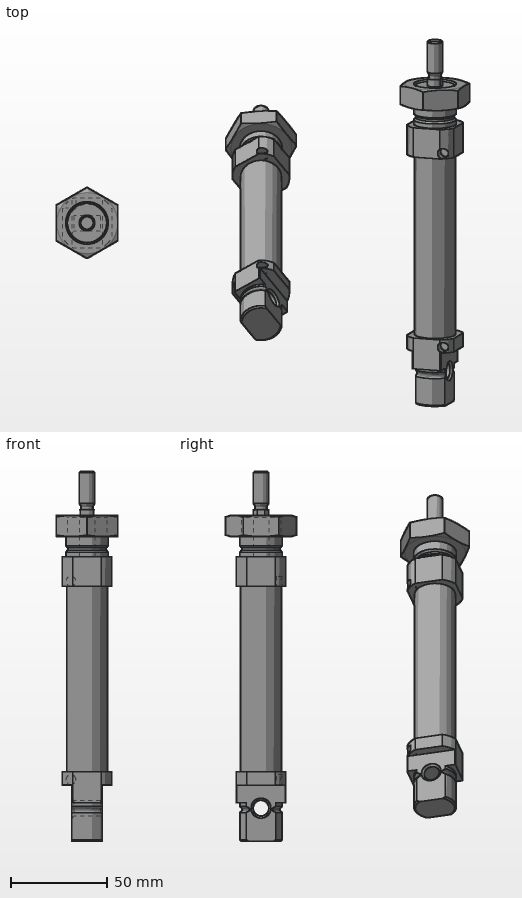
import cadquery as cq
import math


TOTAL_LENGTH = 192.0
REAR_STUB_TOP = 20.0
REAR_COLLAR_BOTTOM = 29.2
REAR_COLLAR_TOP = 36.3
FRONT_COLLAR_BOTTOM = 132.3
FRONT_COLLAR_TOP = 147.8
NUT_TOP = 169.2

TUBE_DIA = 21.3
COLLAR_WIDTH = 26.0
COLLAR_CORNER_DIA = 29.8
TANG_THICKNESS = 16.0
THREAD_DIA = 22.0
THREAD_CORE_DIA = 20.4
THREAD_CHAMFER = (THREAD_DIA - THREAD_CORE_DIA) / 2

FRONT_RELIEF_DIA = 20.0
FRONT_RELIEF_BOTTOM = 150.1
REAR_RELIEF_DIA = 19.8
REAR_RELIEF_BOTTOM = 15.0
RELIEF_WIDTH = 3.3
REAR_RELIEF_FILLET = 0.8

PIVOT_HOLE_DIA = 8.0
PIVOT_HOLE_HEIGHT = 17.3
PIVOT_CHAMFER = 1.2

POCKET_DIA = 5.0
POCKET_DEPTH = 5.0
POCKET_OFFSET_X = -8.5
FRONT_POCKET_HEIGHT = 135.2
REAR_POCKET_HEIGHT = 32.3

NUT_FLATS_WIDTH = 32.0
NUT_CORNER_DIA = 36.9
NUT_HEIGHT = 11.0
NUT_BOTTOM = NUT_TOP - NUT_HEIGHT
NUT_FACE_DIA = 31.7
NUT_CHAMFER_HEIGHT = 0.8

HOUSING_TOP = NUT_TOP - THREAD_CHAMFER

ROD_DIA = 8.0
ROD_TIP_DIA = 6.5
ROD_NECK_DIA = 6.3
ROD_THREAD_BOTTOM = 175.5
ROD_NECK_CONE = 1.5
ROD_NECK_BOTTOM = 172.0
ROD_NECK_FILLET = 0.5
ROD_FLATS_WIDTH = 7.1
ROD_INSERTION = HOUSING_TOP - FRONT_COLLAR_TOP

SMALLEST_CIRCLES = cq.selectors.RadiusNthSelector(0)


def cylinder(diameter, bottom, top):
    """Solid cylinder on the Z axis between two heights."""
    return cq.Workplane("XY").workplane(offset=bottom).circle(diameter / 2).extrude(top - bottom)


def slab(width_x, width_y, bottom, top):
    """Rectangular block centred on the Z axis between two heights."""
    return cq.Workplane("XY").workplane(offset=bottom).rect(width_x, width_y).extrude(top - bottom)


def turned(profile):
    """Solid of revolution about Z from (diameter, height) pairs listed upwards."""
    bottom = profile[0][1]
    top = profile[-1][1]
    outline = [(0, bottom)] + [(diameter / 2, height) for diameter, height in profile] + [(0, top)]
    return cq.Workplane("XZ").polyline(outline).close().revolve(360, (0, 0), (0, 1))


def relief_points(floor_dia, bottom):
    """Profile points of a thread relief groove with 45 degree walls."""
    depth = (THREAD_DIA - floor_dia) / 2
    top = bottom + RELIEF_WIDTH
    return [
        (THREAD_DIA, bottom),
        (floor_dia, bottom + depth),
        (floor_dia, top - depth),
        (THREAD_DIA, top),
    ]


def collar(width_x, bottom, top):
    """Block with flats on its sides and cylindrical corners."""
    return slab(width_x, COLLAR_WIDTH, bottom, top).intersect(cylinder(COLLAR_CORNER_DIA, bottom, top))


def adjusting_pocket(height):
    """Round pocket along Y that breaks out through the (-X, +Y) corner of a collar."""
    return (
        cq.Workplane("XZ", origin=(0, COLLAR_WIDTH / 2, 0))
        .center(POCKET_OFFSET_X, height)
        .circle(POCKET_DIA / 2)
        .extrude(POCKET_DEPTH)
    )


def pivot_hole():
    """Cross hole along X with a 45 degree chamfer at both mouths."""
    half_length = TANG_THICKNESS / 2
    radius = PIVOT_HOLE_DIA / 2
    mouth_radius = radius + PIVOT_CHAMFER
    outline = [
        (-half_length, 0),
        (-half_length, mouth_radius),
        (-half_length + PIVOT_CHAMFER, radius),
        (half_length - PIVOT_CHAMFER, radius),
        (half_length, mouth_radius),
        (half_length, 0),
    ]
    hole = cq.Workplane("XY").polyline(outline).close().revolve(360, (0, 0), (1, 0))
    return hole.translate((0, 0, PIVOT_HOLE_HEIGHT))


def make_housing():
    rear_stub = turned(
        [(THREAD_CORE_DIA, 0), (THREAD_DIA, THREAD_CHAMFER)]
        + relief_points(REAR_RELIEF_DIA, REAR_RELIEF_BOTTOM)
        + [(THREAD_DIA, REAR_STUB_TOP)]
    )
    rear_stub = rear_stub.edges(SMALLEST_CIRCLES).fillet(REAR_RELIEF_FILLET)
    rear_stub = rear_stub.intersect(slab(TANG_THICKNESS, THREAD_DIA, 0, REAR_STUB_TOP))
    tang = collar(TANG_THICKNESS, REAR_STUB_TOP, REAR_COLLAR_BOTTOM)
    rear_collar = collar(COLLAR_WIDTH, REAR_COLLAR_BOTTOM, REAR_COLLAR_TOP)

    tube = cylinder(TUBE_DIA, REAR_COLLAR_TOP, FRONT_COLLAR_BOTTOM)
    front_collar = collar(COLLAR_WIDTH, FRONT_COLLAR_BOTTOM, FRONT_COLLAR_TOP)
    neck = turned(
        [(THREAD_DIA, FRONT_COLLAR_TOP)]
        + relief_points(FRONT_RELIEF_DIA, FRONT_RELIEF_BOTTOM)
        + [(THREAD_DIA, NUT_BOTTOM), (THREAD_CORE_DIA, NUT_BOTTOM), (THREAD_CORE_DIA, HOUSING_TOP)]
    )

    body = rear_stub.union(tang).union(rear_collar).union(tube).union(front_collar).union(neck)

    body = body.cut(pivot_hole())
    for height in (FRONT_POCKET_HEIGHT, REAR_POCKET_HEIGHT):
        body = body.cut(adjusting_pocket(height))
    rod_bore = cylinder(ROD_DIA, HOUSING_TOP - ROD_INSERTION, HOUSING_TOP)
    return body.cut(rod_bore)


def make_rod():
    tip_chamfer = (ROD_DIA - ROD_TIP_DIA) / 2
    rod = turned([
        (ROD_DIA, HOUSING_TOP - ROD_INSERTION),
        (ROD_DIA, ROD_NECK_BOTTOM),
        (ROD_NECK_DIA, ROD_NECK_BOTTOM),
        (ROD_NECK_DIA, ROD_THREAD_BOTTOM - ROD_NECK_CONE),
        (ROD_DIA, ROD_THREAD_BOTTOM),
        (ROD_DIA, TOTAL_LENGTH - tip_chamfer),
        (ROD_TIP_DIA, TOTAL_LENGTH),
    ])
    rod = rod.edges(SMALLEST_CIRCLES).fillet(ROD_NECK_FILLET)
    flats = slab(ROD_DIA, ROD_DIA, HOUSING_TOP, ROD_NECK_BOTTOM).cut(
        slab(ROD_FLATS_WIDTH, ROD_DIA, HOUSING_TOP, ROD_NECK_BOTTOM)
    )
    return rod.cut(flats)


def make_nut():
    hexagon = (
        cq.Workplane("XY")
        .workplane(offset=NUT_BOTTOM)
        .polygon(6, NUT_FLATS_WIDTH / math.cos(math.radians(30)))
        .extrude(NUT_HEIGHT)
        .rotate((0, 0, 0), (0, 0, 1), 30)
    )
    corner_envelope = turned([
        (NUT_FACE_DIA, NUT_BOTTOM),
        (NUT_CORNER_DIA, NUT_BOTTOM + NUT_CHAMFER_HEIGHT),
        (NUT_CORNER_DIA, NUT_TOP - NUT_CHAMFER_HEIGHT),
        (NUT_FACE_DIA, NUT_TOP),
    ])
    bore = turned([
        (THREAD_CORE_DIA, NUT_BOTTOM),
        (THREAD_CORE_DIA, NUT_TOP - THREAD_CHAMFER),
        (THREAD_DIA, NUT_TOP),
    ])
    return hexagon.intersect(corner_envelope).cut(bore)


housing = make_housing()
rod = make_rod()
nut = make_nut()

result = cq.Compound.makeCompound([housing.val(), rod.val(), nut.val()])